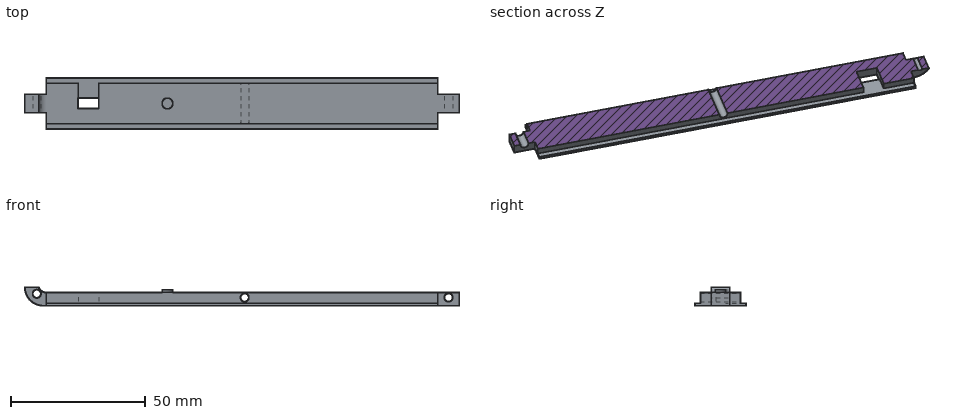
import cadquery as cq
import math

total_length = 161.4
tongue_length = 8.0
tongue_width = 7.0
bar_length = total_length - 2 * tongue_length
bar_width = 15.0
bar_height = 5.0
flange_width = 19.0
flange_thickness = 1.0

nose_height = 7.0
nose_outer_radius = nose_height
nose_inner_radius = 3.0

hole_diameter = 3.0
tail_hole_x = total_length - tongue_length / 2
nose_hole_x = 4.5
nose_hole_height = 4.5
bar_hole_height = 3.1
middle_hole_offset = 1.0
middle_hole_x = total_length / 2 + middle_hole_offset

notch_start_x = 19.8
notch_length = 7.7
notch_inner_y = -1.85
window_outer_y = 2.0

button_x = 53.0
button_diameter = 4.0
button_height = 1.0


def block(x_start, length, y_start, y_end, z_start, height):
    """Box given by its lowest corner, its length and height, and its Y limits."""
    width = y_end - y_start
    corner = (x_start, y_start, z_start)
    return cq.Workplane("XY", origin=corner).box(length, width, height, centered=False)


def centred_block(x_start, length, width, height):
    """Box standing on Z = 0 and centred on Y = 0."""
    return block(x_start, length, -width / 2, width / 2, 0, height)


def flanged_bar():
    """Central bar with a thin flange along both lower edges."""
    bar = centred_block(tongue_length, bar_length, bar_width, bar_height)
    flange = centred_block(tongue_length, bar_length, flange_width, flange_thickness)
    return bar.union(flange)


def nose():
    """Left tongue: quarter-round underside and a raised flat tip that curves down into the bar top."""
    inner_arc_centre_z = bar_height + nose_inner_radius
    centre_above_tip = inner_arc_centre_z - nose_height
    tip_end_x = tongue_length - math.sqrt(nose_inner_radius**2 - centre_above_tip**2)
    return (
        cq.Workplane("XZ")
        .moveTo(0, nose_height)
        .lineTo(tip_end_x, nose_height)
        .radiusArc((tongue_length, bar_height), -nose_inner_radius)
        .lineTo(tongue_length, 0)
        .lineTo(nose_outer_radius, 0)
        .radiusArc((0, nose_height), nose_outer_radius)
        .close()
        .extrude(tongue_width / 2, both=True)
    )


def tail():
    """Plain rectangular tongue at the right end."""
    return centred_block(total_length - tongue_length, tongue_length, tongue_width, bar_height)


def button():
    """Low round button on the bar top."""
    return (
        cq.Workplane("XY", origin=(button_x, 0, bar_height))
        .circle(button_diameter / 2)
        .extrude(button_height)
    )


def notch():
    """Side notch down to the flange top, open below at its inner end."""
    recess_height = bar_height - flange_thickness
    recess = block(
        notch_start_x, notch_length, notch_inner_y, bar_width / 2, flange_thickness, recess_height
    )
    window = block(notch_start_x, notch_length, notch_inner_y, window_outer_y, 0, bar_height)
    return recess.union(window)


def cross_hole(x, z):
    """Round cutter through the full width of the part."""
    return (
        cq.Workplane("XZ", origin=(x, 0, z))
        .circle(hole_diameter / 2)
        .extrude(flange_width / 2, both=True)
    )


result = flanged_bar().union(nose()).union(tail()).union(button())
result = result.cut(notch())

cross_hole_centres = [
    (nose_hole_x, nose_hole_height),
    (middle_hole_x, bar_hole_height),
    (tail_hole_x, bar_hole_height),
]
for hole_x, hole_z in cross_hole_centres:
    result = result.cut(cross_hole(hole_x, hole_z))